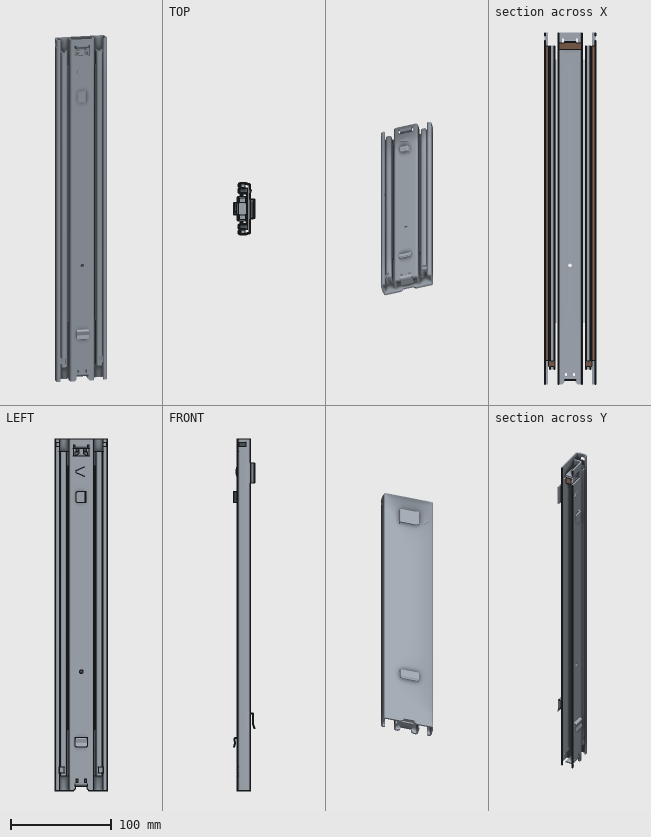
import cadquery as cq
import math

length = 350.0

outer_sheet = 1.5
outer_back_x = 6.2
outer_lip_x = -6.2
outer_half_width = 25.945
outer_back_half_width = 25.2
outer_lip_end_y = 21.7
step_start_x = 3.7
step_end_x = 1.5

middle_sheet = 1.3
middle_back_x = 3.3
middle_crest_x = -6.3
middle_inner_y = 14.9
middle_outer_y = 20.85
middle_free_end_x = 0.9
middle_bottom_z = 14.7
middle_top_z = length - 12.7

inner_sheet = 1.5
inner_face_x = -7.4
inner_half_width = 12.4
inner_flange_end_x = 1.0
inner_bend_radius = 2.4

inner_hook_reach_x = -10.525
outer_hook_reach_x = 10.525
hook_sheet = 1.0
hook_bend_radius = 1.2
hook_corner = 1.2

end_notch_half_width = 5.7
end_notch_mouth_half_width = 7.8
end_notch_height = 4.2
end_notch_flare = 2.0


def corner_arc(before, corner, after, radius):
    """Start, middle and end of the arc of the given radius that rounds a corner."""
    to_before = (cq.Vector(*before) - cq.Vector(*corner)).normalized()
    to_after = (cq.Vector(*after) - cq.Vector(*corner)).normalized()
    half_angle = to_before.getAngle(to_after) / 2
    tangent = radius / math.tan(half_angle)
    to_middle = radius / math.sin(half_angle) - radius
    bisector = (to_before + to_after).normalized()
    arc = (to_before * tangent, bisector * to_middle, to_after * tangent)
    return [(cq.Vector(*corner) + offset).toTuple()[:2] for offset in arc]


def bent_sheet(plane, points, radii, thickness, depth, both=False):
    """Sheet whose middle line follows the points, with one bend radius per corner."""
    path = cq.Workplane(plane).moveTo(*points[0])
    for before, corner, after, radius in zip(points, points[1:], points[2:], radii):
        start, middle, end = corner_arc(before, corner, after, radius)
        path = path.lineTo(*start).threePointArc(middle, end)
    path = path.lineTo(*points[-1]).wire()
    return path.offset2D(thickness / 2).extrude(depth, both=both)


def mirrored_path(half):
    """Whole middle line from the half on the +Y side, ordered from -Y to +Y."""
    return [(x, -y) for x, y in reversed(half)] + half


def mirrored_radii(half):
    """Bend radii that go with a mirrored path."""
    return half[::-1] + half


def box(x_range, y_range, z_range):
    """Block between the given limits."""
    sizes = [high - low for low, high in (x_range, y_range, z_range)]
    corner = (x_range[0], y_range[0], z_range[0])
    return cq.Workplane("XY").box(*sizes, centered=False).translate(corner)


def end_notch(x_range):
    """Notch in the lower end of a web, with a flared mouth."""
    outline = [
        (-end_notch_mouth_half_width, 0),
        (-end_notch_half_width, end_notch_flare),
        (-end_notch_half_width, end_notch_height),
        (end_notch_half_width, end_notch_height),
        (end_notch_half_width, end_notch_flare),
        (end_notch_mouth_half_width, 0),
    ]
    notch = cq.Workplane("YZ").polyline(outline).close()
    return notch.extrude(x_range[1] - x_range[0]).translate((x_range[0], 0, 0))


def downward_hook(path, half_width):
    """Hook bent out of a web and pointing down, with cut corners at its tip."""
    bends = [hook_bend_radius] * (len(path) - 2)
    hook = bent_sheet("XZ", path, bends, hook_sheet, half_width, both=True)
    tip_z = path[-1][1] - hook_sheet / 2
    x_limit = 2 * outer_hook_reach_x
    for side in (1, -1):
        corner = [
            (side * half_width, tip_z),
            (side * (half_width - hook_corner), tip_z),
            (side * half_width, tip_z + hook_corner),
        ]
        cut = cq.Workplane("YZ").polyline(corner).close().extrude(x_limit, both=True)
        hook = hook.cut(cut)
    return hook


def sideways_hook(path, z_range):
    """Hook bent out of a web and pointing along +Y, with cut corners at its tip."""
    bends = [hook_bend_radius] * (len(path) - 2)
    hook = bent_sheet("XY", path, bends, hook_sheet, z_range[1] - z_range[0])
    hook = hook.translate((0, 0, z_range[0]))
    tip_y = path[-1][1] + hook_sheet / 2
    x_limit = 2 * outer_hook_reach_x
    for end_z, inward in ((z_range[0], 1), (z_range[1], -1)):
        corner = [
            (tip_y, end_z),
            (tip_y - hook_corner, end_z),
            (tip_y, end_z + inward * hook_corner),
        ]
        cut = cq.Workplane("YZ").polyline(corner).close().extrude(x_limit, both=True)
        hook = hook.cut(cut)
    return hook


def triangular_lance(face_x, rise, root_y, tip_y, middle_z, root_half_width):
    """Triangular tongue lifted off a web face, highest at its point."""
    wedge = cq.Workplane("XY").polyline(
        [(face_x, root_y), (face_x + rise, tip_y), (face_x, tip_y)]
    )
    wedge = wedge.close().extrude(root_half_width, both=True).translate((0, 0, middle_z))
    blade = cq.Workplane("YZ").polyline(
        [
            (root_y, middle_z - root_half_width),
            (tip_y, middle_z - lance_tip_half_width),
            (tip_y, middle_z + lance_tip_half_width),
            (root_y, middle_z + root_half_width),
        ]
    )
    return wedge.intersect(blade.close().extrude(2 * outer_hook_reach_x, both=True))


lance_rise = 0.9
lance_tip_half_width = 1.0
lance_z = 317.3
lance_root_half_width = 4.6

outer_web_x = outer_back_x - outer_sheet / 2
outer_flange_y = outer_back_half_width - outer_sheet / 2
outer_bulge_y = outer_half_width - outer_sheet / 2
outer_lip_middle_x = outer_lip_x + outer_sheet / 2
outer_corner_radius = 1.0
outer_lip_radius = 1.7

flange_window_x = (-5.4, 1.6)
flange_window_z = (length - 7.5, length - 3.5)

outer_rail = bent_sheet(
    "XY",
    mirrored_path(
        [
            (outer_web_x, outer_flange_y),
            (step_start_x, outer_flange_y),
            (step_end_x, outer_bulge_y),
            (outer_lip_middle_x, outer_bulge_y),
            (outer_lip_middle_x, outer_lip_end_y + outer_sheet / 2),
        ]
    ),
    mirrored_radii([outer_corner_radius] * 3 + [outer_lip_radius]),
    outer_sheet,
    length,
)
outer_rail = outer_rail.cut(end_notch((outer_back_x - outer_sheet, outer_back_x)))
outer_rail = outer_rail.cut(
    box(flange_window_x, (-outer_half_width, outer_half_width), flange_window_z)
)

outer_low_hook_top_z = 77.0
outer_low_hook_tip_z = 62.3
outer_low_hook_x = 8.9
outer_low_hook_flare_z = 66.0
outer_hook_half_width = 9.5
outer_tip_x = outer_hook_reach_x - hook_sheet / 2
outer_rail = outer_rail.union(
    downward_hook(
        [
            (outer_web_x, outer_low_hook_top_z),
            (outer_low_hook_x, outer_low_hook_top_z),
            (outer_low_hook_x, outer_low_hook_flare_z),
            (outer_tip_x, outer_low_hook_tip_z),
        ],
        outer_hook_half_width,
    )
)

outer_high_hook_z = (306.0, 326.0)
outer_high_hook_x = 9.0
outer_high_hook_root_y = -9.7
outer_high_hook_flare_y = 5.5
outer_high_hook_tip_y = 9.0
outer_rail = outer_rail.union(
    sideways_hook(
        [
            (outer_web_x, outer_high_hook_root_y),
            (outer_high_hook_x, outer_high_hook_root_y),
            (outer_high_hook_x, outer_high_hook_flare_y),
            (outer_tip_x, outer_high_hook_tip_y),
        ],
        outer_high_hook_z,
    )
)
outer_lance_root_y = 15.5
outer_lance_tip_y = 18.8
outer_rail = outer_rail.union(
    triangular_lance(
        outer_back_x, lance_rise, outer_lance_root_y, outer_lance_tip_y,
        lance_z, lance_root_half_width,
    )
)

middle_web_x = middle_back_x - middle_sheet / 2
middle_crest_middle_x = middle_crest_x + middle_sheet / 2
middle_inner_leg_y = middle_inner_y + middle_sheet / 2
middle_outer_leg_y = middle_outer_y - middle_sheet / 2
middle_fold_radius = 1.5
lug_y = (17.0, 22.0)
lug_z = (17.8, 23.7)
lug_x = (-4.6, middle_free_end_x)
lug_foot_x = (lug_x[0], middle_back_x)
lug_foot_y = (middle_inner_leg_y, 20.5)

middle_rail = bent_sheet(
    "XY",
    mirrored_path(
        [
            (middle_web_x, middle_inner_leg_y),
            (middle_crest_middle_x, middle_inner_leg_y),
            (middle_crest_middle_x, middle_outer_leg_y),
            (middle_free_end_x, middle_outer_leg_y),
        ]
    ),
    mirrored_radii([middle_fold_radius] * 3),
    middle_sheet,
    middle_top_z - middle_bottom_z,
).translate((0, 0, middle_bottom_z))
for side in (1, -1):
    lug_range = sorted(side * y for y in lug_y)
    foot_range = sorted(side * y for y in lug_foot_y)
    middle_rail = middle_rail.cut(box((middle_crest_x, lug_x[0]), lug_range, lug_z))
    middle_rail = middle_rail.union(box(lug_x, lug_range, lug_z))
    middle_rail = middle_rail.union(box(lug_foot_x, foot_range, lug_z))

inner_web_x = inner_face_x + inner_sheet / 2
inner_flange_y = inner_half_width - inner_sheet / 2
inner_web_range = (inner_face_x, inner_face_x + inner_sheet)

inner_rail = bent_sheet(
    "XY",
    mirrored_path([(inner_web_x, inner_flange_y), (inner_flange_end_x, inner_flange_y)]),
    [inner_bend_radius - inner_sheet / 2] * 2,
    inner_sheet,
    length,
)

window_half_width = 7.8
window_z = (333.0, 344.0)
stop_tab_half_width = 6.1
stop_tab_end_x = 1.3
stop_tab_z = 341.0
stop_bend_radius = 2.0
inner_rail = inner_rail.cut(
    box(inner_web_range, (-window_half_width, window_half_width), window_z)
)
inner_rail = inner_rail.union(
    bent_sheet(
        "XZ",
        [
            (inner_web_x, window_z[1] + inner_sheet / 2),
            (inner_web_x, stop_tab_z),
            (stop_tab_end_x, stop_tab_z),
        ],
        [stop_bend_radius],
        inner_sheet,
        stop_tab_half_width,
        both=True,
    )
)

relief_slot_y = 4.1
relief_slot_width = 1.8
relief_slot_top_z = 11.6
low_tab_top_z = 8.3
low_tab_z = end_notch_height + inner_sheet / 2
low_tab_half_width = stop_tab_half_width
inner_rail = inner_rail.cut(end_notch(inner_web_range))
inner_rail = inner_rail.cut(
    box(
        inner_web_range,
        (-low_tab_half_width, low_tab_half_width),
        (end_notch_height, low_tab_top_z),
    )
)
inner_rail = inner_rail.union(
    bent_sheet(
        "XZ",
        [
            (inner_web_x, low_tab_top_z),
            (inner_web_x, low_tab_z),
            (stop_tab_end_x, low_tab_z),
        ],
        [stop_bend_radius],
        inner_sheet,
        low_tab_half_width,
        both=True,
    )
)
for side in (1, -1):
    slot_y = side * relief_slot_y
    slot_range = (slot_y - relief_slot_width / 2, slot_y + relief_slot_width / 2)
    inner_rail = inner_rail.cut(
        box(inner_web_range, slot_range, (low_tab_top_z, relief_slot_top_z))
    )

web_hole_diameter = 3.6
web_hole_z = 118.4
web_hole = cq.Workplane("YZ").center(0, web_hole_z).circle(web_hole_diameter / 2)
inner_rail = inner_rail.cut(web_hole.extrude(inner_sheet).translate((inner_face_x, 0, 0)))

inner_hook_x = inner_hook_reach_x + hook_sheet / 2
inner_low_hook_root_z = 52.4
inner_low_hook_pinch_x = -9.2
inner_low_hook_pinch_z = 47.5
inner_low_hook_tip_z = 43.8
inner_low_hook_half_width = 6.1
inner_rail = inner_rail.union(
    downward_hook(
        [
            (inner_web_x, inner_low_hook_root_z),
            (inner_hook_x, inner_low_hook_root_z),
            (inner_low_hook_pinch_x, inner_low_hook_pinch_z),
            (inner_hook_x, inner_low_hook_tip_z),
        ],
        inner_low_hook_half_width,
    )
)
inner_high_hook_z = (286.4, 297.5)
inner_high_hook_root_y = -4.7
inner_high_hook_bend_y = -2.5
inner_high_hook_tip_y = 4.7
inner_rail = inner_rail.union(
    sideways_hook(
        [
            (inner_web_x, inner_high_hook_root_y),
            (inner_hook_x, inner_high_hook_bend_y),
            (inner_hook_x, inner_high_hook_tip_y),
        ],
        inner_high_hook_z,
    )
)
inner_lance_root_y = -3.1
inner_lance_tip_y = 5.2
inner_rail = inner_rail.union(
    triangular_lance(
        inner_face_x, -lance_rise, inner_lance_root_y, inner_lance_tip_y,
        lance_z, lance_root_half_width,
    )
)

cage_clearance = 0.5
outer_cage_x = (-3.7, middle_free_end_x)
outer_cage_y = (middle_outer_y + cage_clearance, outer_bulge_y - outer_sheet / 2)
outer_cage_z = (lug_z[1], middle_top_z)
inner_cage_x = (-4.0, -1.0)
inner_cage_y = (13.4, middle_inner_y - cage_clearance)
inner_cage_z = (61.0, 323.0)


def ball_cage(side, x_range, y_range, z_range):
    """Straight strip that carries the balls between two rails, on one side of the slide."""
    return box(x_range, sorted(side * y for y in y_range), z_range)


outer_cages = [ball_cage(side, outer_cage_x, outer_cage_y, outer_cage_z) for side in (1, -1)]
inner_cages = [ball_cage(side, inner_cage_x, inner_cage_y, inner_cage_z) for side in (1, -1)]

bumper_x = (-5.0, stop_tab_end_x)
bumper_half_width = inner_half_width - inner_sheet
bumper_z = (window_z[0], stop_tab_z - inner_sheet / 2)
bumper_recess_depth = 1.5
upper_recess = [(2.1, 337.8), (5.4, 337.8), (5.4, 339.6), (2.1, 339.6)]
lower_recess = [(4.4, 333.6), (6.1, 333.6), (6.1, 337.0), (2.1, 337.0), (2.1, 335.8)]
bumper = box(bumper_x, (-bumper_half_width, bumper_half_width), bumper_z)
for side in (1, -1):
    for recess in (upper_recess, lower_recess):
        outline = [(side * y, z) for y, z in recess]
        pocket = cq.Workplane("YZ").polyline(outline).close().extrude(bumper_recess_depth)
        bumper = bumper.cut(pocket.translate((bumper_x[0], 0, 0)))

bodies = [outer_rail, middle_rail, inner_rail, *outer_cages, *inner_cages, bumper]
result = cq.Compound.makeCompound([body.val() for body in bodies])